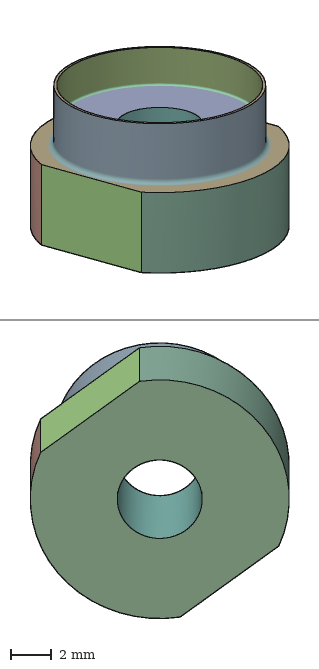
import cadquery as cq

base_diameter = 12.7
across_flats = 11.11
base_height = 4.24

total_height = 7.42
collar_diameter = 10.4
wall_thickness = 0.15
outer_fillet = 0.25

cup_depth = 2.0
cup_fillet = 0.1
bore_diameter = 4.17


def make_base():
    """Round base with two flats facing -Y and +Y."""
    disc = cq.Workplane("XY").circle(base_diameter / 2).extrude(base_height)
    flats = cq.Workplane("XY").rect(base_diameter, across_flats).extrude(base_height)
    return disc.intersect(flats)


def add_collar(body):
    """Solid collar on the base, with a fillet at its root."""
    collar = (
        cq.Workplane("XY")
        .workplane(offset=base_height)
        .circle(collar_diameter / 2)
        .extrude(total_height - base_height)
    )
    base_top = cq.selectors.NearestToPointSelector((0, 0, base_height))
    smallest_circle = cq.selectors.RadiusNthSelector(0)
    body = body.union(collar)
    return body.faces(base_top).edges(smallest_circle).fillet(outer_fillet)


def make_cup():
    """Round pocket volume with a rounded floor edge."""
    return (
        cq.Workplane("XY")
        .workplane(offset=total_height - cup_depth)
        .circle(collar_diameter / 2 - wall_thickness)
        .extrude(cup_depth)
        .faces("<Z")
        .edges()
        .fillet(cup_fillet)
    )


def make_bore():
    """Through hole along the axis."""
    return cq.Workplane("XY").circle(bore_diameter / 2).extrude(total_height)


result = add_collar(make_base()).cut(make_cup()).cut(make_bore())